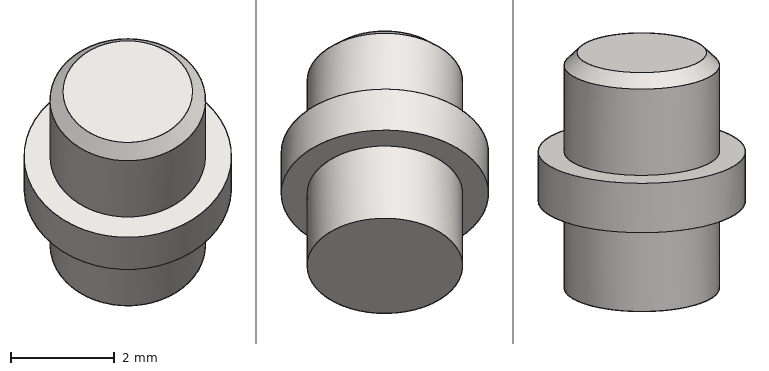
import cadquery as cq

total_height = 4.76
pin_diameter = 3.0
collar_diameter = 4.0
collar_thickness = 1.0
upper_pin_length = 2.0
tip_chamfer = 0.25

collar_bottom = total_height - upper_pin_length - collar_thickness

pin = (
    cq.Workplane("XY")
    .circle(pin_diameter / 2)
    .extrude(total_height)
    .faces(">Z")
    .chamfer(tip_chamfer)
)

collar = (
    cq.Workplane("XY")
    .workplane(offset=collar_bottom)
    .circle(collar_diameter / 2)
    .extrude(collar_thickness)
)

result = pin.union(collar)